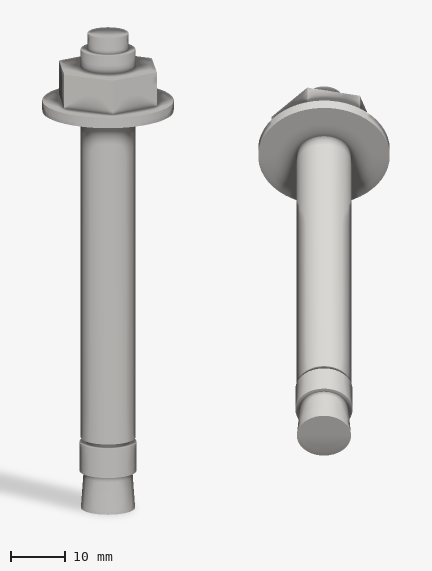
import cadquery as cq
import math

total_length = 90.0
bolt_diameter = 10.0

cone_height = 7.0
sleeve_top = 12.5
groove_top = 13.3
tip_length = 3.1

cone_bottom_diameter = 9.9
cone_top_diameter = 8.9
sleeve_diameter = 10.4
groove_diameter = 8.0
tip_diameter = 7.5

washer_bottom = 75.2
washer_thickness = 2.0
washer_diameter = 24.0
nut_height = 6.4
nut_across_flats = 17.0


def cylinder(diameter, bottom, top):
    return cq.Workplane("XY").workplane(offset=bottom).circle(diameter / 2).extrude(top - bottom)


def expansion_cone():
    """Cone at the lower end, widening downward."""
    return (
        cq.Workplane("XY")
        .circle(cone_bottom_diameter / 2)
        .workplane(offset=cone_height)
        .circle(cone_top_diameter / 2)
        .loft(ruled=True)
    )


def hex_nut(bottom):
    """Hexagonal nut with flats facing +X and -X and corners on the Y axis."""
    across_corners = nut_across_flats / math.cos(math.radians(30))
    return (
        cq.Workplane("XY")
        .workplane(offset=bottom)
        .transformed(rotate=(0, 0, 90))
        .polygon(6, across_corners)
        .extrude(nut_height)
    )


washer_top = washer_bottom + washer_thickness
shank_top = total_length - tip_length

result = (
    expansion_cone()
    .union(cylinder(sleeve_diameter, cone_height, sleeve_top))
    .union(cylinder(groove_diameter, sleeve_top, groove_top))
    .union(cylinder(bolt_diameter, groove_top, shank_top))
    .union(cylinder(tip_diameter, shank_top, total_length))
    .union(cylinder(washer_diameter, washer_bottom, washer_top))
    .union(hex_nut(washer_top))
)